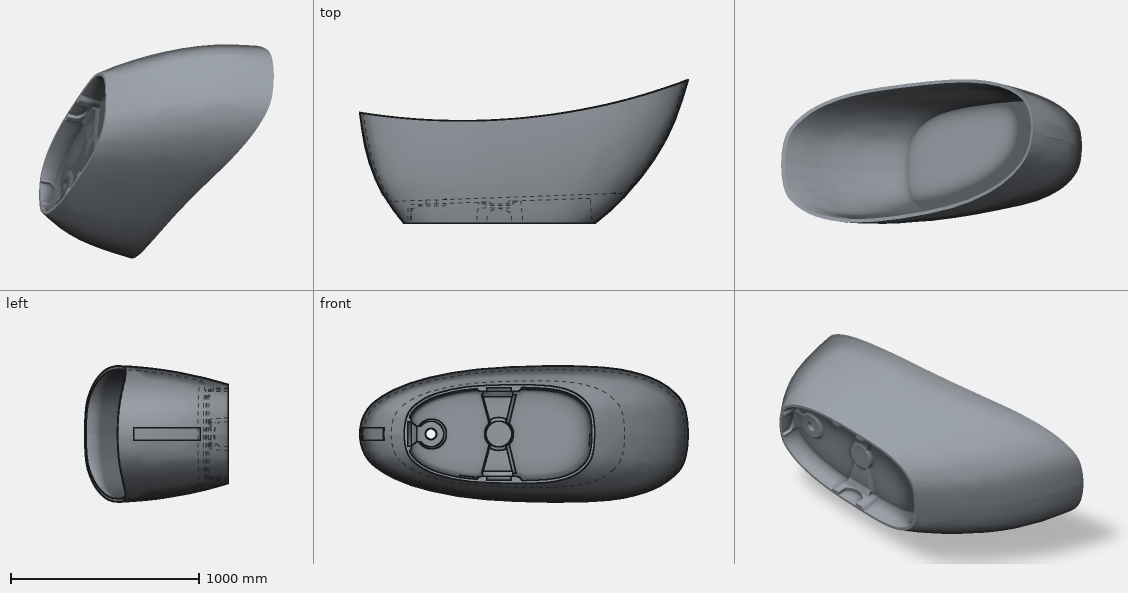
import cadquery as cq
import math


LENGTH = 1747.31
HALF_WIDTH = 362.6
HEIGHT = 765.0

FOOT_SECTION = (0.0, 236.0, 1250.0, 263.0, 2.7)
SKIN_SECTIONS = [
    FOOT_SECTION,
    (100.0, 160.0, 1366.0, 291.0, 2.6),
    (250.0, 79.0, 1500.0, 325.0, 2.5),
    (400.0, 33.0, 1603.0, 348.0, 2.4),
    (590.0, 0.0, 1692.0, HALF_WIDTH, 2.35),
    (HEIGHT, 22.0, LENGTH, 354.0, 2.35),
]
WIDEST_SHARE = 0.61
HEAD_END_POWER = 2.85
POINTS_PER_QUARTER = 6

RIM_DRAIN_END = (-40.0, 597.0)
RIM_LOW = (560.0, 546.0)
RIM_RISING = (1120.0, 594.0)
RIM_HEAD_END = (LENGTH, HEIGHT)
RIM_OVERHANG = 40.0

WALL = 18.0
FLOOR_THICKNESS = 20.0
RECESS_DEPTH_DRAIN_END = 101.0
RECESS_DEPTH_HEAD_END = 137.0
FOOT_WALL = 15.0
RECESS_DRAFT = 11.0
RECESS_FILLET = 10.0

FRAME_BASE_LEVEL = RECESS_DEPTH_HEAD_END
HUB_X = 740.0
HUB_LEVEL = 98.0
HUB_TOP_RADIUS = 69.0
HUB_FLARE = 0.37
COLLAR_FLARE = 2.7
SPOKE_LEVEL = 105.0
SPOKE_INNER = (695.0, 777.0)
SPOKE_OUTER = (653.0, 813.0)
SPOKE_START_Z = 55.0
SPOKE_END_Z = 210.0
SPOKE_DRAIN_SIDE_FLARE = 0.55
SPOKE_HEAD_SIDE_FLARE = 1.2

DRAIN_X = 379.0
DRAIN_LEVEL = 95.0
DRAIN_HOLE_DIAMETER = 57.0
DRAIN_TOP_RADIUS = 68.0
DRAIN_FLARE = 1.1
BRIDGE_HALF_WIDTH = 42.0
BRIDGE_FLARE = 20.0

SIDE_FACE_Z = 226.0
SIDE_BLOCK_SPAN = (645.0, 835.0)
END_FACE_X = 275.0
END_BLOCK_HALF_SPAN = 70.0
FLARE_LENGTH = 45.0
FLARE_DEPTH = 26.0
BLOCK_REACH = 60.0
RAMP_RUN = 28.0
RAMP_RISE = 22.0
NOTCH_RADIUS = 65.0
NOTCH_SHOULDER = 50.0
NOTCH_HEIGHT = 80.0
NOTCH_DEPTH = 20.0

DUCT_HALF_WIDTH = 33.5
DUCT_BOTTOM = (125.0, 150.0)
DUCT_MIDDLE = (50.5, 326.0)
DUCT_TOP = (11.5, 503.0)
DUCT_THICKNESS = 10.0


def egg_half(section, inset, side, slope):
    """Spline along one side (+1 or -1 in Z) of an egg outline, from drain end to head end."""
    level, drain_x, head_x, half_width, drain_power = section
    drain_x += inset
    head_x -= inset
    half_width -= inset
    widest_x = drain_x + WIDEST_SHARE * (head_x - drain_x)
    points = []
    for step in range(2 * POINTS_PER_QUARTER + 1):
        angle = math.pi * step / (2 * POINTS_PER_QUARTER)
        along = -math.cos(angle)
        reach, power = head_x - widest_x, HEAD_END_POWER
        if along < 0:
            reach, power = widest_x - drain_x, drain_power
        x = widest_x + reach * math.copysign(abs(along) ** (2 / power), along)
        z = side * half_width * abs(math.sin(angle)) ** (2 / power)
        points.append(cq.Vector(x, level + slope * (x - drain_x), z))
    start_tangent = cq.Vector(0, 0, points[1].z)
    end_tangent = cq.Vector(0, 0, -points[-2].z)
    return cq.Edge.makeSpline(
        points,
        tangents=[start_tangent, end_tangent],
        parameters=range(len(points)),
        scale=False,
    )


def egg_wire(section, inset=0.0, slope=0.0):
    """Closed outline of a section, shrunk by the inset and rising toward the head end by the slope."""
    return cq.Wire.assembleEdges([egg_half(section, inset, side, slope) for side in (1, -1)])


def tub_solid(inset):
    """The skin's shape up to full height, shrunk by the inset."""
    wires = [egg_wire(section, inset) for section in SKIN_SECTIONS]
    return cq.Workplane(cq.Solid.makeLoft(wires))


def level_plane(level):
    """Sketch plane at a height, local x along X and local y along Z; a negative extrusion goes up."""
    return cq.Workplane("XZ", origin=(0, level, 0))


def floor_slope():
    foot_length = FOOT_SECTION[2] - FOOT_SECTION[1]
    return (RECESS_DEPTH_HEAD_END - RECESS_DEPTH_DRAIN_END) / foot_length


def above_rim():
    """Everything over the saddle-shaped rim curve."""
    top = HEIGHT + RIM_OVERHANG
    return (
        cq.Workplane("XY")
        .moveTo(*RIM_DRAIN_END)
        .spline([RIM_LOW, RIM_RISING, RIM_HEAD_END], includeCurrent=True)
        .lineTo(LENGTH, top)
        .lineTo(RIM_DRAIN_END[0], top)
        .close()
        .extrude(HALF_WIDTH + RIM_OVERHANG, both=True)
    )


def bowl():
    """Inside of the tub, with its floor parallel to the underside."""
    floor_start = RECESS_DEPTH_DRAIN_END + FLOOR_THICKNESS - floor_slope() * FOOT_SECTION[1]
    below_floor = (
        cq.Workplane("XY")
        .polyline([
            (0, -RIM_OVERHANG),
            (0, floor_start),
            (LENGTH, floor_start + floor_slope() * LENGTH),
            (LENGTH, -RIM_OVERHANG),
        ])
        .close()
        .extrude(HALF_WIDTH, both=True)
    )
    return tub_solid(WALL).cut(below_floor)


def foot_recess():
    """Drafted hollow under the floor, rounded where its wall meets the floor."""
    top_section = (RECESS_DEPTH_DRAIN_END,) + FOOT_SECTION[1:]
    mouth = egg_wire(FOOT_SECTION, FOOT_WALL)
    top = egg_wire(top_section, FOOT_WALL + RECESS_DRAFT, floor_slope())
    hollow = cq.Workplane(cq.Solid.makeLoft([mouth, top]))
    return hollow.faces(">Y").edges().fillet(RECESS_FILLET)


def boss(x, top_radius, flare, base_level, top_level):
    """Round boss pointing down from its base level, flaring from its lower face to its base."""
    height = base_level - top_level
    return (
        level_plane(base_level)
        .center(x, 0)
        .circle(top_radius + flare * height)
        .workplane(offset=height)
        .circle(top_radius)
        .loft(ruled=True)
    )


def hub():
    """Central boss, with a gentler collar where the spokes run into it."""
    core = boss(HUB_X, HUB_TOP_RADIUS, HUB_FLARE, FRAME_BASE_LEVEL, HUB_LEVEL)
    collar = boss(HUB_X, HUB_TOP_RADIUS, COLLAR_FLARE, SPOKE_LEVEL, HUB_LEVEL)
    spoke_width = SPOKE_INNER[1] - SPOKE_INNER[0]
    spoke_strip = (
        level_plane(0)
        .center(sum(SPOKE_INNER) / 2, 0)
        .rect(spoke_width, 4 * HUB_TOP_RADIUS)
        .extrude(-FRAME_BASE_LEVEL)
    )
    return core.union(collar.intersect(spoke_strip))


def spoke(side):
    """Flared rib from the hub to a side wall, with a gentler flank toward the head end."""
    start, end = side * SPOKE_START_Z, side * SPOKE_END_Z
    height = FRAME_BASE_LEVEL - SPOKE_LEVEL
    base_flanks = (SPOKE_DRAIN_SIDE_FLARE * height, SPOKE_HEAD_SIDE_FLARE * height)

    def outline(drain_flank, head_flank):
        return [
            (SPOKE_INNER[0] - drain_flank, start),
            (SPOKE_OUTER[0] - drain_flank, end),
            (SPOKE_OUTER[1] + head_flank, end),
            (SPOKE_INNER[1] + head_flank, start),
        ]

    return (
        level_plane(FRAME_BASE_LEVEL)
        .polyline(outline(*base_flanks)).close()
        .workplane(offset=height)
        .polyline(outline(0, 0)).close()
        .loft(ruled=True)
    )


def wall_block(plane, span):
    """Thickened wall: local x runs along its inner face, local y points outward from that face."""
    start, end = span
    return (
        plane
        .moveTo(start, 0)
        .spline([(start - FLARE_LENGTH, FLARE_DEPTH)], tangents=[(-1, 0), (-1, 0)], includeCurrent=True)
        .lineTo(start - FLARE_LENGTH, BLOCK_REACH)
        .lineTo(end + FLARE_LENGTH, BLOCK_REACH)
        .lineTo(end + FLARE_LENGTH, FLARE_DEPTH)
        .spline([(end, 0)], tangents=[(-1, 0), (-1, 0)], includeCurrent=True)
        .close()
        .extrude(FRAME_BASE_LEVEL, both=True)
    )


def side_block(side):
    """Thickened side wall at the end of a spoke, with a ramp from the spoke onto it."""
    plane = cq.Workplane(cq.Plane((0, 0, side * SIDE_FACE_Z), (1, 0, 0), (0, -side, 0)))
    ramp = (
        cq.Workplane("YZ", origin=(SPOKE_OUTER[0], 0, 0))
        .polyline([
            (SPOKE_LEVEL, side * (SIDE_FACE_Z - RAMP_RUN)),
            (SPOKE_LEVEL - RAMP_RISE, side * SIDE_FACE_Z),
            (FRAME_BASE_LEVEL, side * SIDE_FACE_Z),
            (FRAME_BASE_LEVEL, side * (SIDE_FACE_Z - RAMP_RUN)),
        ])
        .close()
        .extrude(SPOKE_OUTER[1] - SPOKE_OUTER[0])
    )
    return wall_block(plane, SIDE_BLOCK_SPAN).union(ramp)


def end_block():
    """Thickened wall at the drain end, with a flared bridge and ramp to the drain boss."""
    plane = cq.Workplane(cq.Plane((END_FACE_X, 0, 0), (0, 0, 1), (0, -1, 0)))
    wall = wall_block(plane, (-END_BLOCK_HALF_SPAN, END_BLOCK_HALF_SPAN))
    ramp_end = END_FACE_X + RAMP_RUN
    flared = BRIDGE_HALF_WIDTH + BRIDGE_FLARE
    footprint = (
        level_plane(0)
        .polyline([
            (END_FACE_X, -flared),
            (ramp_end, -BRIDGE_HALF_WIDTH),
            (DRAIN_X, -BRIDGE_HALF_WIDTH),
            (DRAIN_X, BRIDGE_HALF_WIDTH),
            (ramp_end, BRIDGE_HALF_WIDTH),
            (END_FACE_X, flared),
        ])
        .close()
        .extrude(-FRAME_BASE_LEVEL)
    )
    profile = (
        cq.Workplane("XY")
        .polyline([
            (END_FACE_X, FRAME_BASE_LEVEL),
            (END_FACE_X, DRAIN_LEVEL - RAMP_RISE),
            (ramp_end, DRAIN_LEVEL),
            (DRAIN_X, DRAIN_LEVEL),
            (DRAIN_X, FRAME_BASE_LEVEL),
        ])
        .close()
        .extrude(flared, both=True)
    )
    return wall.union(profile.intersect(footprint))


def arch(center, along, outward):
    """Arched notch standing on the ground, cut outward into a wall block."""
    return (
        cq.Workplane(cq.Plane(center, along, outward))
        .moveTo(-NOTCH_RADIUS, 0)
        .lineTo(-NOTCH_RADIUS, NOTCH_SHOULDER)
        .threePointArc((0, NOTCH_HEIGHT), (NOTCH_RADIUS, NOTCH_SHOULDER))
        .lineTo(NOTCH_RADIUS, 0)
        .close()
        .extrude(NOTCH_DEPTH)
    )


def notches():
    """Pipe notches in the inner faces of the three wall blocks."""
    return (
        arch((HUB_X, 0, SIDE_FACE_Z), (1, 0, 0), (0, 0, 1))
        .union(arch((HUB_X, 0, -SIDE_FACE_Z), (-1, 0, 0), (0, 0, -1)))
        .union(arch((END_FACE_X, 0, 0), (0, 0, 1), (-1, 0, 0)))
    )


def underside_frame():
    """Hub, spokes, drain boss and wall blocks that stand out from the recessed floor."""
    drain = boss(DRAIN_X, DRAIN_TOP_RADIUS, DRAIN_FLARE, FRAME_BASE_LEVEL, DRAIN_LEVEL)
    frame = hub().union(drain).union(end_block())
    for side in (1, -1):
        frame = frame.union(spoke(side)).union(side_block(side))
    return frame


def drain_hole():
    through = 2 * RECESS_DEPTH_HEAD_END
    return level_plane(0).center(DRAIN_X, 0).circle(DRAIN_HOLE_DIAMETER / 2).extrude(-through)


def overflow_duct():
    """Curved strip following the skin's centre line at the drain end."""
    return (
        cq.Workplane("XY")
        .moveTo(*DUCT_BOTTOM)
        .threePointArc(DUCT_MIDDLE, DUCT_TOP)
        .lineTo(DUCT_TOP[0] + DUCT_THICKNESS, DUCT_TOP[1])
        .threePointArc(
            (DUCT_MIDDLE[0] + DUCT_THICKNESS, DUCT_MIDDLE[1]),
            (DUCT_BOTTOM[0] + DUCT_THICKNESS, DUCT_BOTTOM[1]),
        )
        .close()
        .extrude(DUCT_HALF_WIDTH, both=True)
    )


tub = tub_solid(0).cut(bowl(), clean=False).cut(above_rim(), clean=False)
tub = tub.union(overflow_duct(), clean=False)
underside = foot_recess().cut(underside_frame()).union(notches()).union(drain_hole())
result = tub.cut(underside, clean=False)